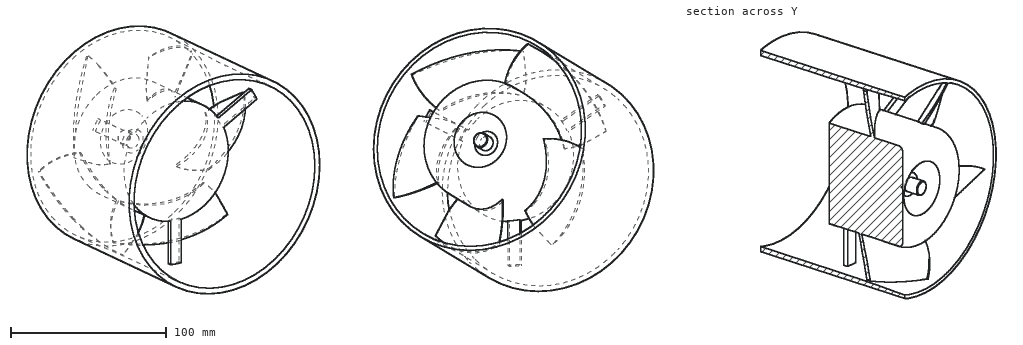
import cadquery as cq
import math

duct_length = 120.0
duct_radius = 73.0
inlet_radius = 70.4
throat_radius = 69.2
throat_x = duct_length / 2

hub_front_x = 1.6
hub_radius = 40.0
hub_fillet = 3.6
recess_rim_radius = 18.1
recess_floor_radius = 7.9
recess_depth = recess_rim_radius - recess_floor_radius
shaft_radius = 4.8
shaft_chamfer = 0.5

strut_count = 3
strut_width = 8.2
strut_thickness = 3.0
strut_start_angle = 30.0
hub_back_x = throat_x + strut_thickness

blade_count = 5
blade_tip_radius = 68.5
blade_edge_thickness = 0.3
blade_middle_thickness = 3.4
strip_width = 6.3
strips_each_side = 4
sheet_half_width = 33.6
camber_radius = 262.8
camber_mid_x = 29.5
camber_mid_slope = 33.0

inner_section = (29.2, 0.8, -1.9)
outer_section = (70.1, 1.03, -0.9)

edge_root = (29.2, 20.3)
edge_middle = (45.3, 28.6)
edge_tip = (61.3, 31.7)


def make_duct():
    duct = cq.Workplane("YZ").circle(duct_radius).extrude(duct_length)
    bore_profile = [
        (0, 0),
        (0, inlet_radius),
        (throat_x, throat_radius),
        (duct_length, throat_radius),
        (duct_length, 0),
    ]
    bore = cq.Workplane("XY").polyline(bore_profile).close().revolve(360, (0, 0), (1, 0))
    return duct.cut(bore)


def make_hub():
    hub = (
        cq.Workplane("YZ", origin=(hub_front_x, 0, 0))
        .circle(hub_radius)
        .extrude(hub_back_x - hub_front_x)
        .faces("<X")
        .edges()
        .fillet(hub_fillet)
    )
    recess_profile = [
        (hub_front_x, shaft_radius - shaft_chamfer),
        (hub_front_x, recess_rim_radius),
        (hub_front_x + recess_depth, recess_floor_radius),
        (hub_front_x + recess_depth, shaft_radius),
        (hub_front_x + shaft_chamfer, shaft_radius),
    ]
    recess = cq.Workplane("XZ").polyline(recess_profile).close().revolve(360, (0, 0), (1, 0))
    return hub.cut(recess)


def make_strut(angle):
    reach = (throat_radius + duct_radius) / 2
    strut = cq.Workplane("XY").box(strut_thickness, reach, strut_width, centered=(False, False, True))
    return strut.translate((throat_x, 0, 0)).rotate((0, 0, 0), (1, 0, 0), angle)


def camber_x(offset):
    """Axial place of the blade's front face at a sideways offset from the centre line."""
    slope = math.radians(camber_mid_slope)
    sideways = camber_radius * math.sin(slope) - offset
    centre_x = camber_mid_x - camber_radius * math.cos(slope)
    return centre_x + math.sqrt(camber_radius**2 - sideways**2)


def blade_section(distance, scale, shift):
    """Closed wire across the blade sheet: flat strips in front, one bulging arc behind."""
    strip_lines = [i * strip_width for i in range(-strips_each_side, strips_each_side + 1)]

    def point(offset, thickness):
        return cq.Vector(camber_x(offset) + thickness, distance, offset * scale + shift)

    front = [point(u, 0) for u in [-sheet_half_width] + strip_lines + [sheet_half_width]]
    back = [
        point(-sheet_half_width, blade_edge_thickness),
        point(0, blade_middle_thickness),
        point(sheet_half_width, blade_edge_thickness),
    ]
    edges = [cq.Edge.makeLine(start, end) for start, end in zip(front, front[1:])]
    edges.append(cq.Edge.makeLine(front[-1], back[-1]))
    edges.append(cq.Edge.makeThreePointArc(*reversed(back)))
    edges.append(cq.Edge.makeLine(back[0], front[0]))
    return cq.Wire.assembleEdges(edges)


def make_blade():
    """One blade, centred on +Y."""
    sheet = cq.Solid.makeLoft([blade_section(*inner_section), blade_section(*outer_section)], True)
    outline = (
        cq.Workplane("YZ")
        .moveTo(edge_root[0], -edge_root[1])
        .threePointArc((edge_middle[0], -edge_middle[1]), (edge_tip[0], -edge_tip[1]))
        .threePointArc((blade_tip_radius, 0), edge_tip)
        .threePointArc(edge_middle, edge_root)
        .close()
        .extrude(duct_length)
    )
    return outline.intersect(cq.Workplane(sheet))


result = make_duct().union(make_hub())
for i in range(strut_count):
    result = result.union(make_strut(strut_start_angle + i * 360 / strut_count))
blade = make_blade()
for i in range(blade_count):
    result = result.union(blade.rotate((0, 0, 0), (1, 0, 0), i * 360 / blade_count))